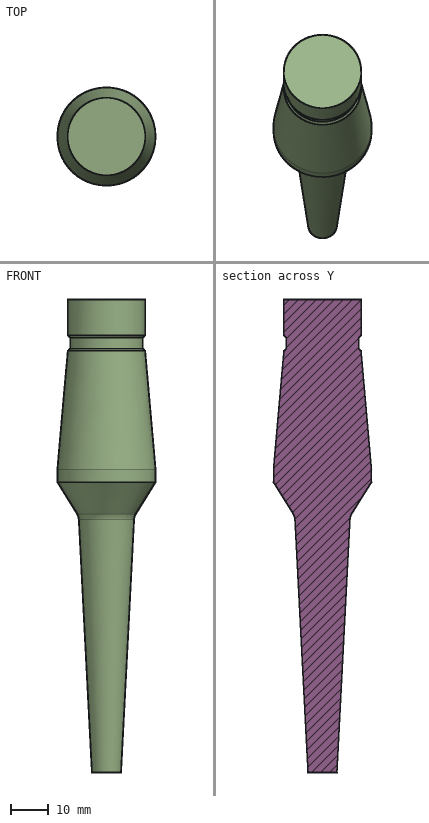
import cadquery as cq

total_height = 125.0
cap_bottom = 115.5
groove_bottom = 111.4
band_top = 80.1
band_bottom = 76.8
stem_top = 67.8

tip_radius = 3.9
stem_top_radius = 7.4
band_radius = 13.0
cap_radius = 10.2
groove_depth = 0.6
groove_bevel_height = 0.6
neck_fillet = 3.1

groove_radius = cap_radius - groove_depth


def turned_body():
    """Tapered stem, flared shoulder, tapered handle and grooved cap."""
    profile = [
        (0, 0),
        (tip_radius, 0),
        (stem_top_radius, stem_top),
        (band_radius, band_bottom),
        (band_radius, band_top),
        (cap_radius, groove_bottom),
        (groove_radius, groove_bottom + groove_bevel_height),
        (groove_radius, cap_bottom - groove_bevel_height),
        (cap_radius, cap_bottom),
        (cap_radius, total_height),
        (0, total_height),
    ]
    return cq.Workplane("XZ").polyline(profile).close().revolve(360, (0, 0, 0), (0, 1, 0))


def round_neck(body):
    """Blend the inside corner where the stem meets the flared shoulder."""
    neck_edge = cq.selectors.BoxSelector(
        (-band_radius, -band_radius, stem_top - neck_fillet),
        (band_radius, band_radius, stem_top + neck_fillet),
        boundingbox=True,
    )
    return body.edges(neck_edge).fillet(neck_fillet)


result = round_neck(turned_body())